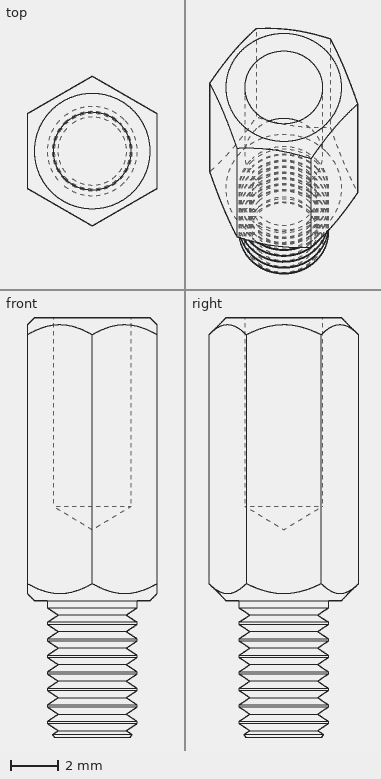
import cadquery as cq
import math

across_flats = 5.5
across_corners = across_flats / math.cos(math.radians(30))
body_length = 12.0
end_face_diameter = 4.9
corner_chamfer = (across_corners - end_face_diameter) / 2

bore_diameter = 3.3
bore_depth = 8.0
drill_point_angle = 118.0

stud_length = 5.8
pitch = 0.7
groove_count = 8
major_radius = 3.8 / 2
minor_radius = 1.45
crest_width = 0.1
flank_length = (pitch - crest_width) / 2
collar_length = 0.31
tip_radius = 1.6
tip_chamfer_length = 0.13


def make_body():
    """Hexagonal prism standing on Z = 0, corners on the Y axis, both ends bevelled."""
    prism = (
        cq.Workplane("XY")
        .polygon(6, across_corners)
        .extrude(body_length)
        .rotate((0, 0, 0), (0, 0, 1), 30)
    )
    bevel_envelope = (
        cq.Workplane("XY")
        .circle(across_corners / 2)
        .extrude(body_length)
        .faces("<Z or >Z")
        .chamfer(corner_chamfer)
    )
    return prism.intersect(bevel_envelope)


def make_bore():
    """Drilled hole with a conical bottom, revolved about Z."""
    radius = bore_diameter / 2
    wall_bottom = body_length - bore_depth
    point_length = radius / math.tan(math.radians(drill_point_angle / 2))
    return (
        cq.Workplane("XZ")
        .moveTo(0, body_length)
        .lineTo(radius, body_length)
        .lineTo(radius, wall_bottom)
        .lineTo(0, wall_bottom - point_length)
        .close()
        .revolve(360, (0, 0, 0), (0, 1, 0))
    )


def make_stud():
    """Stud with ring-shaped V grooves; the last groove runs out into the bevelled tip."""
    profile = cq.Workplane("XZ").moveTo(0, 0).lineTo(major_radius, 0)
    for index in range(groove_count):
        groove_top = -collar_length - index * pitch
        groove_root = groove_top - flank_length
        profile = profile.lineTo(major_radius, groove_top).lineTo(minor_radius, groove_root)
        if index < groove_count - 1:
            profile = profile.lineTo(major_radius, groove_root - flank_length)

    tip_edge = -stud_length + tip_chamfer_length
    flank_slope = (major_radius - minor_radius) / flank_length
    tip_edge_radius = minor_radius + (groove_root - tip_edge) * flank_slope
    return (
        profile.lineTo(tip_edge_radius, tip_edge)
        .lineTo(tip_radius, -stud_length)
        .lineTo(0, -stud_length)
        .close()
        .revolve(360, (0, 0, 0), (0, 1, 0))
    )


result = make_body().union(make_stud()).cut(make_bore())